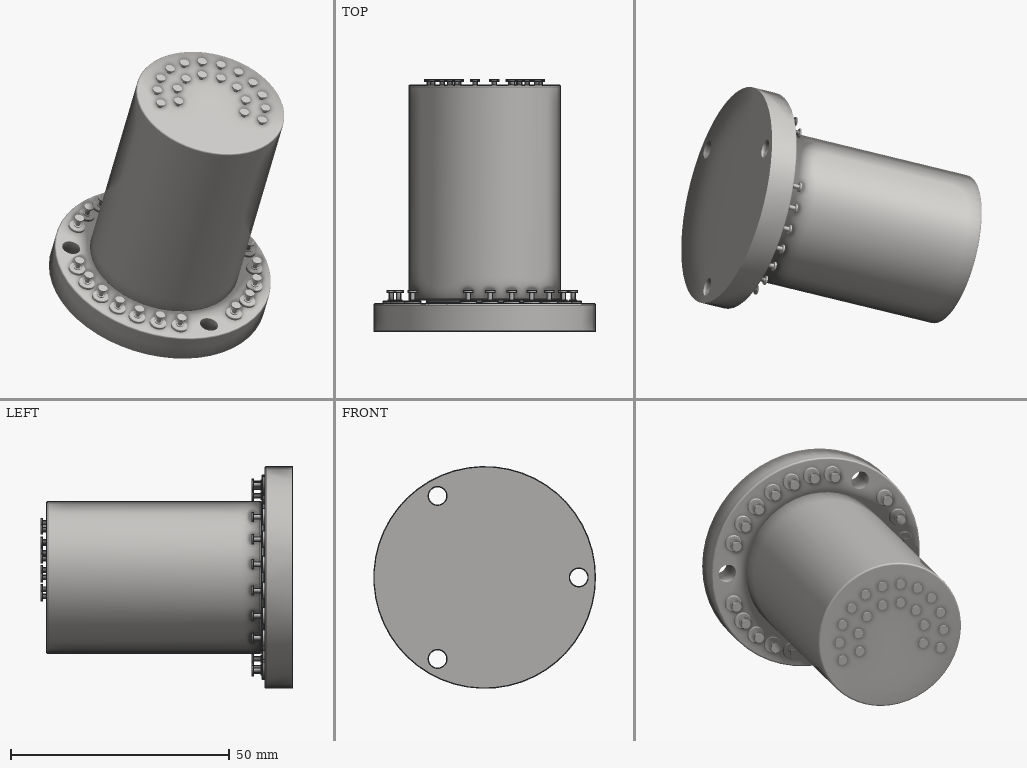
import cadquery as cq
import math

overall_length = 57.6
front_y = -overall_length / 2
rear_y = overall_length / 2

flange_diameter = 50.75
flange_thickness = 6.35
neck_radius = 13.3
neck_length = 0.8
body_radius = 17.4
rear_pin_height = 1.25
edge_round = 0.4
neck_foot_chamfer = 0.25

flange_rear_y = front_y + flange_thickness
body_front_y = flange_rear_y + neck_length
body_rear_y = rear_y - rear_pin_height

flange_pitch_radius = 21.55
mounting_hole_diameter = 4.2
mounting_hole_count = 3
first_hole_angle = 90.0
sector_angle = 360 / mounting_hole_count

terminal_counts = (7, 6, 7)
terminal_span_angle = 80.0

pin_shaft_radius = 0.5
pin_head_diameter = 2.15
pin_head_thickness = 0.4
flange_pin_height = 3.0

insulator_radius = 1.9
insulator_height = 0.65
insulator_chamfer = 0.1
collar_radius = 0.8
collar_height = 0.85

outer_arc_radius = 12.7
outer_arc_step = 20.0
outer_arc_pairs = 6
inner_arc_radius = 8.2
inner_arc_step = 31.2
inner_arc_pairs = 4


def cylinder_along_y(radius, start_y, length):
    """Cylinder on the Y axis running from start_y towards +Y."""
    workplane = cq.Workplane("XZ", origin=(0, start_y, 0))
    return workplane.circle(radius).extrude(-length)


def at_polar(shape, radius, angle_from_z):
    """Move a shape off the Y axis; the angle runs from +Z towards +X."""
    angle = math.radians(angle_from_z)
    return shape.translate((radius * math.sin(angle), 0, radius * math.cos(angle)))


def headed_pin(base_y, height):
    shaft = cylinder_along_y(pin_shaft_radius, base_y, height)
    head_y = base_y + height - pin_head_thickness
    return shaft.union(cylinder_along_y(pin_head_diameter / 2, head_y, pin_head_thickness))


def flange_terminal():
    insulator = cylinder_along_y(insulator_radius, flange_rear_y, insulator_height)
    insulator = insulator.faces(">Y").chamfer(insulator_chamfer)
    collar = cylinder_along_y(collar_radius, flange_rear_y, collar_height)
    return insulator.union(collar).union(headed_pin(flange_rear_y, flange_pin_height))


def flange_and_body():
    flange = cylinder_along_y(flange_diameter / 2, front_y, flange_thickness)
    flange = flange.faces(">Y").edges().fillet(edge_round)
    body = cylinder_along_y(body_radius, body_front_y, body_rear_y - body_front_y)
    body = body.edges("%CIRCLE").fillet(edge_round)
    neck = cylinder_along_y(neck_radius, flange_rear_y, neck_length)
    neck_foot = cq.Workplane("XY").polyline(
        [
            (0, flange_rear_y),
            (neck_radius + neck_foot_chamfer, flange_rear_y),
            (neck_radius, flange_rear_y + neck_foot_chamfer),
            (0, flange_rear_y + neck_foot_chamfer),
        ]
    )
    neck_foot = neck_foot.close().revolve(360, (0, 0, 0), (0, 1, 0))
    return flange.union(neck).union(neck_foot).union(body)


def symmetric_angles(step, pairs):
    """Evenly stepped angles in pairs on both sides of +Z."""
    positive = [step * (index + 0.5) for index in range(pairs)]
    return positive + [-angle for angle in positive]


result = flange_and_body()

for index in range(mounting_hole_count):
    hole = cylinder_along_y(mounting_hole_diameter / 2, front_y, flange_thickness)
    hole_angle = first_hole_angle + index * sector_angle
    result = result.cut(at_polar(hole, flange_pitch_radius, hole_angle))

for index, terminal_count in enumerate(terminal_counts):
    sector_middle = first_hole_angle + (index + 0.5) * sector_angle
    first_terminal_angle = sector_middle - terminal_span_angle / 2
    terminal_step = terminal_span_angle / (terminal_count - 1)
    for position in range(terminal_count):
        terminal_angle = first_terminal_angle + position * terminal_step
        result = result.union(at_polar(flange_terminal(), flange_pitch_radius, terminal_angle))

rear_arcs = (
    (outer_arc_radius, outer_arc_step, outer_arc_pairs),
    (inner_arc_radius, inner_arc_step, inner_arc_pairs),
)
for arc_radius, arc_step, arc_pairs in rear_arcs:
    for pin_angle in symmetric_angles(arc_step, arc_pairs):
        pin = headed_pin(body_rear_y, rear_pin_height)
        result = result.union(at_polar(pin, arc_radius, pin_angle))